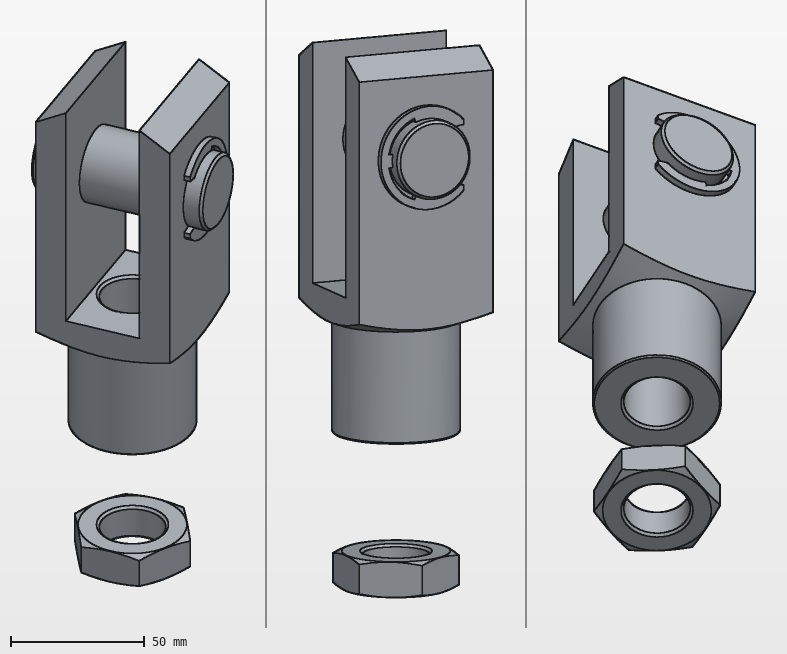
import cadquery as cq
import math

total_height = 207.2
fork_width = 55.0
slot_width = 30.0
slot_floor_z = 115.5
tine_bevel_angle = 30.0
stem_diameter = 48.0
stem_bottom_z = 59.3
stem_edge_chamfer = 0.6
head_bottom_z = 102.1
head_cone_angle = 20.0

thread_core_diameter = 24.9
thread_outer_diameter = 27.0
thread_chamfer = (thread_outer_diameter - thread_core_diameter) / 2

pin_diameter = 30.0
pin_length = 70.0
pin_z = 169.3
pin_end_chamfer = 1.0

clip_thickness = 2.5
clip_diameter = 39.4
clip_relief_diameter = 33.2
relief_start_angle = 21.0
relief_end_angle = 81.0
mouth_depth = 14.3
mouth_half_width = 11.5
throat_half_width = 10.4
throat_depth = 6.8

nut_across_flats = 41.0
nut_thickness = 13.7
nut_face_diameter = 40.6
nut_chamfer_angle = 20.0


def rise(run, angle):
    """Height gained over a horizontal run on a slope of the given angle in degrees."""
    return run * math.tan(math.radians(angle))


def threaded_bore(bottom_z, top_z):
    """Solid of a bore along Z that flares at both mouths."""
    core_radius = thread_core_diameter / 2
    mouth_radius = thread_outer_diameter / 2
    return (
        cq.Workplane("XZ")
        .moveTo(0, bottom_z)
        .lineTo(mouth_radius, bottom_z)
        .lineTo(core_radius, bottom_z + thread_chamfer)
        .lineTo(core_radius, top_z - thread_chamfer)
        .lineTo(mouth_radius, top_z)
        .lineTo(0, top_z)
        .close()
        .revolve(360, (0, 0, 0), (0, 1, 0))
    )


def make_head():
    """Slotted square head with bevelled tine tips and a conical underside."""
    half_width = fork_width / 2
    half_slot = slot_width / 2
    bevel_z = total_height - rise(half_width - half_slot, tine_bevel_angle)
    head = (
        cq.Workplane("XZ")
        .moveTo(-half_width, head_bottom_z)
        .lineTo(half_width, head_bottom_z)
        .lineTo(half_width, bevel_z)
        .lineTo(half_slot, total_height)
        .lineTo(half_slot, slot_floor_z)
        .lineTo(-half_slot, slot_floor_z)
        .lineTo(-half_slot, total_height)
        .lineTo(-half_width, bevel_z)
        .close()
        .extrude(half_width, both=True)
    )
    stem_radius = stem_diameter / 2
    envelope_radius = fork_width
    cone_top_z = head_bottom_z + rise(envelope_radius - stem_radius, head_cone_angle)
    envelope = (
        cq.Workplane("XZ")
        .moveTo(0, head_bottom_z)
        .lineTo(stem_radius, head_bottom_z)
        .lineTo(envelope_radius, cone_top_z)
        .lineTo(envelope_radius, total_height)
        .lineTo(0, total_height)
        .close()
        .revolve(360, (0, 0, 0), (0, 1, 0))
    )
    return head.intersect(envelope)


def make_stem():
    """Round stem with a chamfered lower edge."""
    return (
        cq.Workplane("XY", origin=(0, 0, stem_bottom_z))
        .circle(stem_diameter / 2)
        .extrude(head_bottom_z - stem_bottom_z)
        .faces("<Z")
        .chamfer(stem_edge_chamfer)
    )


def disc_along_x(diameter, start_x, length):
    """Cylinder on the pin axis."""
    return cq.Workplane("YZ", origin=(start_x, 0, pin_z)).circle(diameter / 2).extrude(length)


def make_clip(start_x):
    """Open retaining ring with two relieved arcs between its three gripping lobes."""
    clip = disc_along_x(clip_diameter, start_x, clip_thickness)
    clip = clip.cut(disc_along_x(pin_diameter, start_x, clip_thickness))
    plane = cq.Workplane("YZ", origin=(start_x, 0, pin_z))

    relief_radius = clip_relief_diameter / 2
    inner_radius = pin_diameter / 2
    middle_angle = (relief_start_angle + relief_end_angle) / 2

    def polar(radius, angle, side):
        radians = math.radians(angle)
        return radius * math.sin(radians), side * radius * math.cos(radians)

    for side in (1, -1):
        relief = (
            plane.moveTo(*polar(inner_radius, relief_start_angle, side))
            .lineTo(*polar(relief_radius, relief_start_angle, side))
            .threePointArc(
                polar(relief_radius, middle_angle, side),
                polar(relief_radius, relief_end_angle, side),
            )
            .lineTo(*polar(inner_radius, relief_end_angle, side))
            .threePointArc(
                polar(inner_radius, middle_angle, side),
                polar(inner_radius, relief_start_angle, side),
            )
            .close()
            .extrude(clip_thickness)
        )
        clip = clip.cut(relief)

    mouth = (
        plane.moveTo(-throat_depth, -throat_half_width)
        .lineTo(-throat_depth, throat_half_width)
        .lineTo(-mouth_depth, mouth_half_width)
        .lineTo(-mouth_depth, clip_diameter / 2)
        .lineTo(-clip_diameter, clip_diameter / 2)
        .lineTo(-clip_diameter, -clip_diameter / 2)
        .lineTo(-mouth_depth, -clip_diameter / 2)
        .lineTo(-mouth_depth, -mouth_half_width)
        .close()
        .extrude(clip_thickness)
    )
    return clip.cut(mouth)


def make_pin_with_clips():
    """Pin with chamfered ends and a clip gripping it outside each tine."""
    pin = disc_along_x(pin_diameter, -pin_length / 2, pin_length)
    pin = pin.faces("<X or >X").chamfer(pin_end_chamfer)
    clip_starts = (-fork_width / 2 - clip_thickness, fork_width / 2)
    for start_x in clip_starts:
        pin = pin.union(make_clip(start_x))
    return pin


def make_fork():
    """Fork head, stem, pin and clips as one solid."""
    fork = make_head().union(make_stem())
    fork = fork.cut(threaded_bore(stem_bottom_z, slot_floor_z))
    return fork.union(make_pin_with_clips())


def make_nut():
    """Hexagonal nut with corners on the X axis and both faces chamfered."""
    corner_diameter = nut_across_flats / math.cos(math.radians(30))
    corner_radius = corner_diameter / 2
    face_radius = nut_face_diameter / 2
    corner_drop = rise(corner_radius - face_radius, nut_chamfer_angle)
    hexagon = cq.Workplane("XY").polygon(6, corner_diameter).extrude(nut_thickness)
    envelope = (
        cq.Workplane("XZ")
        .lineTo(face_radius, 0)
        .lineTo(corner_radius, corner_drop)
        .lineTo(corner_radius, nut_thickness - corner_drop)
        .lineTo(face_radius, nut_thickness)
        .lineTo(0, nut_thickness)
        .close()
        .revolve(360, (0, 0, 0), (0, 1, 0))
    )
    return hexagon.intersect(envelope).cut(threaded_bore(0, nut_thickness))


fork = make_fork()
nut = make_nut()

result = cq.Compound.makeCompound([fork.val(), nut.val()])